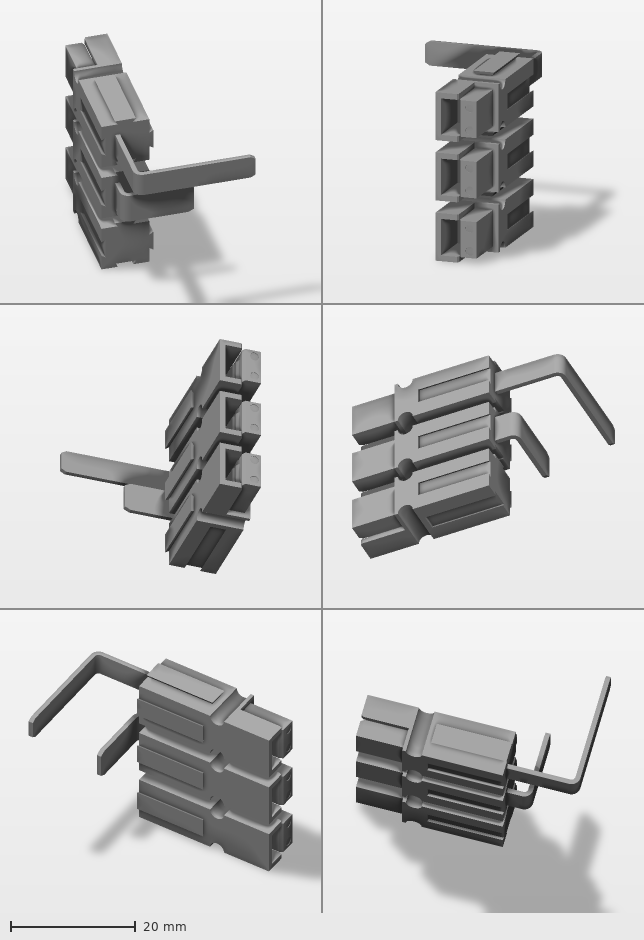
import cadquery as cq


housing_length = 24.65
housing_side = 7.95
half_side = housing_side / 2
row_pitch = 10.0
row_heights = [-row_pitch, 0, row_pitch]

mouth_depth = 7.92
mouth_side = 6.05
half_mouth = mouth_side / 2
hood_edge_y = 0.07
hood_chamfer_x = 0.4
hood_chamfer_y = 0.22
tongue_top_y = 0.0
tongue_chamfer_x = 0.62
tongue_chamfer_y = 0.35

dimple_y = -1.9
dimple_offset_z = 1.9
dimple_diameter = 1.45
dimple_depth = 0.1

notch_x = 9.85
notch_radius = 1.3

dovetail_start = 12.1
dovetail_height = 0.65
dovetail_neck = 2.63
dovetail_face = 3.45
rail_nose_undercut = 0.3

contact_tip_x = 1.82
contact_tip_length = 0.73
contact_tip_height = 0.35
contact_flat_length = 0.73
contact_step_length = 0.3
contact_height = 0.6
contact_width = 3.9

terminal_thickness = 0.8
terminal_outer_y = -1.7
bend_radius = 1.45
long_reach_x = 36.5
long_tip_y = 18.32
long_width = 3.98
long_chamfer_y = 0.8
short_reach_x = 28.65
short_tip_y = 10.3
short_width = 5.05
short_chamfer_y = 0.95
tip_chamfer_z = 0.47


def box(x_range, y_range, z_range):
    """Box between two limits along each axis."""
    size = [high - low for low, high in (x_range, y_range, z_range)]
    corner = (x_range[0], y_range[0], z_range[0])
    return cq.Workplane("XY").box(*size, centered=False).translate(corner)


def plan_prism(points, width):
    """Prism with a polygonal outline in XY, centred on Z = 0."""
    return cq.Workplane("XY").polyline(points).close().extrude(width / 2, both=True)


def dovetail(base_y):
    """Dovetail bar along X that widens towards +Y from its neck at base_y."""
    top_y = base_y + dovetail_height
    outline = [
        (base_y, -dovetail_neck / 2),
        (base_y, dovetail_neck / 2),
        (top_y, dovetail_face / 2),
        (top_y, -dovetail_face / 2),
    ]
    bar = cq.Workplane("YZ").workplane(offset=dovetail_start).polyline(outline).close()
    return bar.extrude(housing_length - dovetail_start)


def turn_about_x(shape, angle):
    return shape.rotate((0, 0, 0), (1, 0, 0), angle)


def dovetail_rail():
    """Rail on the +Y face whose front end is undercut."""
    nose = [
        (dovetail_start, half_side),
        (dovetail_start + rail_nose_undercut, half_side),
        (dovetail_start, half_side + dovetail_height),
    ]
    return dovetail(half_side).cut(plan_prism(nose, dovetail_face))


def dovetail_groove():
    """Groove cutter for the -Y face, widening inwards."""
    return dovetail(-half_side)


def hood():
    """Open-fronted hood on the +Y half of the mouth, with bevelled rim ends."""
    outline = [
        (0, half_side),
        (mouth_depth, half_side),
        (mouth_depth, hood_edge_y),
        (hood_chamfer_x, hood_edge_y),
        (0, hood_edge_y + hood_chamfer_y),
    ]
    cavity = box((0, mouth_depth), (hood_edge_y, half_mouth), (-half_mouth, half_mouth))
    return plan_prism(outline, housing_side).cut(cavity)


def tongue():
    """Solid tongue on the -Y half of the mouth, with a bevelled tip and two round dimples in its end."""
    outline = [
        (0, -half_mouth),
        (mouth_depth, -half_mouth),
        (mouth_depth, tongue_top_y),
        (tongue_chamfer_x, tongue_top_y),
        (0, tongue_top_y - tongue_chamfer_y),
    ]
    dimples = (
        cq.Workplane("YZ")
        .pushPoints([(dimple_y, -dimple_offset_z), (dimple_y, dimple_offset_z)])
        .circle(dimple_diameter / 2)
        .extrude(dimple_depth)
    )
    return plan_prism(outline, mouth_side).cut(dimples)


def make_housing():
    span = (-half_side, half_side)
    body = box((mouth_depth, housing_length), span, span)
    body = body.union(hood()).union(tongue())
    notches = (
        cq.Workplane("XZ", origin=(0, half_side, 0))
        .pushPoints([(notch_x, -half_side), (notch_x, half_side)])
        .circle(notch_radius)
        .extrude(housing_side)
    )
    body = body.cut(notches)
    rail = dovetail_rail()
    groove = dovetail_groove()
    for angle in (0, 90):
        body = body.union(turn_about_x(rail, angle))
        body = body.cut(turn_about_x(groove, angle))
    return body


def make_contact():
    """Blade on the tongue: a ramped tip, a short flat, then a ramp to its full height."""
    blade_top_y = tongue_top_y + contact_height
    flat_y = tongue_top_y + contact_tip_height
    flat_start_x = contact_tip_x + contact_tip_length
    flat_end_x = flat_start_x + contact_flat_length
    outline = [
        (contact_tip_x, tongue_top_y),
        (flat_start_x, flat_y),
        (flat_end_x, flat_y),
        (flat_end_x + contact_step_length, blade_top_y),
        (mouth_depth, blade_top_y),
        (mouth_depth, tongue_top_y),
    ]
    return plan_prism(outline, contact_width)


def make_terminal(reach_x, tip_y, width, tip_chamfer_y):
    """Flat strip from the housing rear, bent to +Y, with its two tip corners cut off."""
    inner_x = reach_x - terminal_thickness
    inner_y = terminal_outer_y + terminal_thickness
    outline = [
        (housing_length, terminal_outer_y),
        (reach_x, terminal_outer_y),
        (reach_x, tip_y),
        (inner_x, tip_y),
        (inner_x, inner_y),
        (housing_length, inner_y),
    ]
    strip = plan_prism(outline, width)
    outer_corner = cq.selectors.NearestToPointSelector((reach_x, terminal_outer_y, 0))
    inner_corner = cq.selectors.NearestToPointSelector((inner_x, inner_y, 0))
    strip = strip.edges("|Z").edges(outer_corner).fillet(bend_radius)
    strip = strip.edges("|Z").edges(inner_corner).fillet(bend_radius - terminal_thickness)
    for side in (-1, 1):
        corner = [
            (tip_y, side * width / 2),
            (tip_y - tip_chamfer_y, side * width / 2),
            (tip_y, side * (width / 2 - tip_chamfer_z)),
        ]
        cutter = cq.Workplane("YZ").workplane(offset=inner_x).polyline(corner).close()
        strip = strip.cut(cutter.extrude(terminal_thickness))
    return strip


housing = make_housing()
housings = [housing.translate((0, 0, height)).val() for height in row_heights]

contact = make_contact()
contacts = [contact.translate((0, 0, height)).val() for height in row_heights]

long_terminal = make_terminal(long_reach_x, long_tip_y, long_width, long_chamfer_y)
short_terminal = make_terminal(short_reach_x, short_tip_y, short_width, short_chamfer_y)
terminals = [short_terminal.val(), long_terminal.translate((0, 0, row_pitch)).val()]

result = cq.Compound.makeCompound([*housings, *contacts, *terminals])